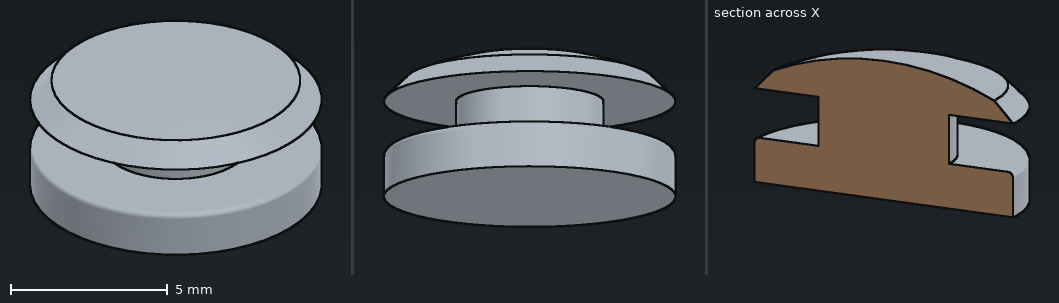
import cadquery as cq

outer_diameter = 9.3
neck_diameter = 4.7
total_height = 4.6
base_height = 1.5
base_edge_radius = 0.2
neck_height = 1.6
bevel_size = 0.69

outer_radius = outer_diameter / 2
neck_radius = neck_diameter / 2
cap_bottom = base_height + neck_height
dome_bottom = cap_bottom + bevel_size
dome_radius = outer_radius - bevel_size
dome_height = total_height - dome_bottom

sphere_radius = (dome_radius**2 + dome_height**2) / (2 * dome_height)
sphere_center_z = total_height - sphere_radius
dome_mid_radius = dome_radius / 2
dome_mid_z = sphere_center_z + (sphere_radius**2 - dome_mid_radius**2) ** 0.5

base = (
    cq.Workplane("XY")
    .circle(outer_radius)
    .extrude(base_height)
    .faces(">Z")
    .edges()
    .fillet(base_edge_radius)
)

neck = cq.Workplane("XY").workplane(offset=base_height).circle(neck_radius).extrude(neck_height)

cap = (
    cq.Workplane("XZ")
    .moveTo(0, cap_bottom)
    .lineTo(outer_radius, cap_bottom)
    .lineTo(dome_radius, dome_bottom)
    .threePointArc((dome_mid_radius, dome_mid_z), (0, total_height))
    .close()
    .revolve(360, (0, 0, 0), (0, 1, 0))
)

result = base.union(neck).union(cap)